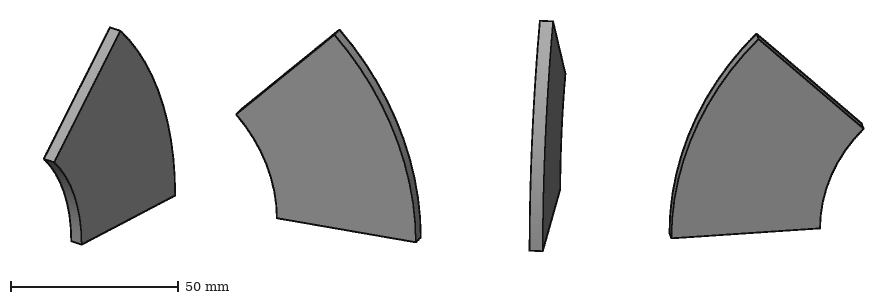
import cadquery as cq
import math

thickness = 4.0
outer_radius = 90.0
inner_radius = 45.0
sweep_angle = 45.0

middle_angle = sweep_angle / 2


def polar(radius, angle):
    """Point (y, z) at a radius and an angle measured from +Y towards +Z."""
    angle_rad = math.radians(angle)
    return (radius * math.cos(angle_rad), radius * math.sin(angle_rad))


def sector_plate():
    """Flat ring sector in the YZ plane, with the common arc centre at the origin."""
    return (
        cq.Workplane("YZ")
        .moveTo(*polar(inner_radius, 0))
        .lineTo(*polar(outer_radius, 0))
        .threePointArc(polar(outer_radius, middle_angle), polar(outer_radius, sweep_angle))
        .lineTo(*polar(inner_radius, sweep_angle))
        .threePointArc(polar(inner_radius, middle_angle), polar(inner_radius, 0))
        .close()
        .extrude(thickness)
    )


result = sector_plate()